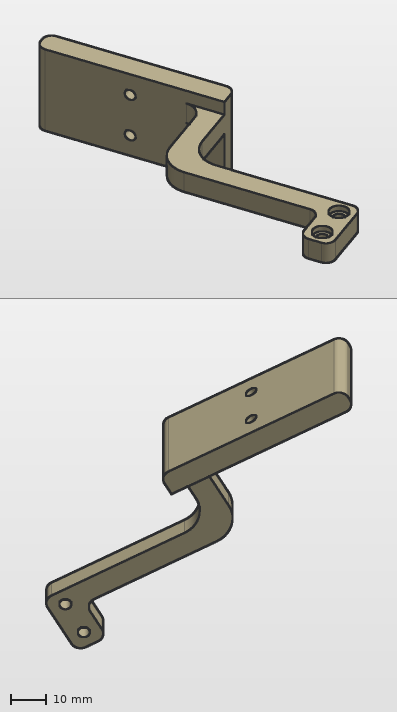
import cadquery as cq

plate_length = 60.0
plate_thickness = 7.1
plate_height = 29.0
plate_hole_spacing = 14.4

overall_length = 115
overall_depth = 50.0
arm_width = 7.0
arm_height = 7.0
arm_drop = 4.5
arm_back_y = -30.0
pad_width = 10.0
pad_hole_spacing = 10.8
pad_hole_edge = 4.7
counterbore_diameter = 6.0
counterbore_depth = 2.0

hole_diameter = 3.5
corner_radius = 3.0
root_radius = 5.1
inner_bend_radius = 8.5
outer_bend_radius = 9.0

arm_left_x = plate_length - arm_width
arm_front_y = arm_back_y - arm_width
pad_left_x = overall_length - pad_width
pad_center_x = overall_length - pad_width / 2
arm_top_z = plate_height - arm_drop
arm_bottom_z = arm_top_z - arm_height


def rounded_corner(body, x, y, radius):
    """Round the single vertical edge of the body at (x, y)."""
    reach = 0.1
    box = cq.selectors.BoxSelector(
        (x - reach, y - reach, -reach), (x + reach, y + reach, plate_height + reach)
    )
    return body.edges("|Z").edges(box).fillet(radius)


def make_plate():
    plate = cq.Workplane("XY").box(
        plate_length, plate_thickness, plate_height, centered=False
    ).translate((0, -plate_thickness, 0))
    for x, y in [(0, 0), (0, -plate_thickness), (plate_length, 0)]:
        plate = rounded_corner(plate, x, y, corner_radius)
    drills = (
        cq.Workplane("XZ", origin=(plate_length / 2, 0, plate_height / 2))
        .rarray(1.2, plate_hole_spacing, 1, 2)
        .circle(hole_diameter / 2)
        .extrude(plate_thickness)
    )
    return plate.cut(drills)


def make_arm():
    outline = [
        (plate_length, -plate_thickness),
        (plate_length, arm_back_y),
        (overall_length, arm_back_y),
        (overall_length, -overall_depth),
        (pad_left_x, -overall_depth),
        (pad_left_x, arm_front_y),
        (arm_left_x, arm_front_y),
        (arm_left_x, -plate_thickness),
    ]
    arm = cq.Workplane("XY", origin=(0, 0, arm_bottom_z)).polyline(outline).close().extrude(arm_height)
    arm = rounded_corner(arm, plate_length, arm_back_y, inner_bend_radius)
    arm = rounded_corner(arm, arm_left_x, arm_front_y, outer_bend_radius)
    for x, y in [
        (overall_length, arm_back_y),
        (overall_length, -overall_depth),
        (pad_left_x, -overall_depth),
        (pad_left_x, arm_front_y),
    ]:
        arm = rounded_corner(arm, x, y, corner_radius)
    first_hole_y = -overall_depth + pad_hole_edge
    return (
        cq.Workplane("XY", origin=(0, 0, arm_top_z))
        .add(arm)
        .pushPoints([(pad_center_x, first_hole_y), (pad_center_x, first_hole_y + pad_hole_spacing)])
        .cboreHole(hole_diameter, counterbore_diameter, counterbore_depth)
    )


result = make_plate().union(make_arm())
result = rounded_corner(result, arm_left_x, -plate_thickness, root_radius)